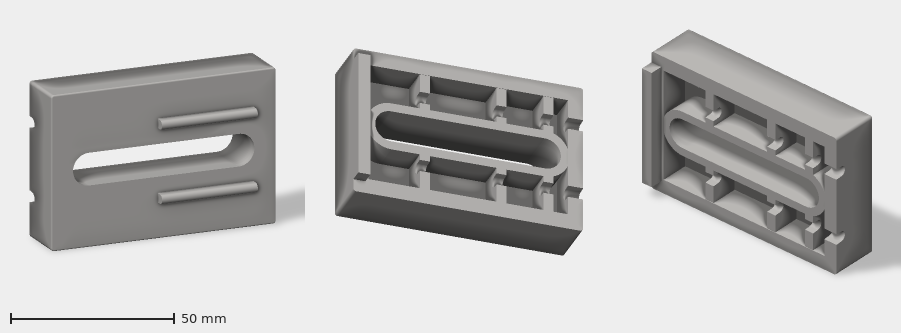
import cadquery as cq

length = 75.0
height = 50.0
overall_depth = 25.0
lip_depth = 4.5
rail_depth = 3.45
body_depth = overall_depth - lip_depth - rail_depth
corner_radius = 1.0
back_edge_radius = corner_radius / 2

end_wall = 4.95
side_wall = 5.0
cavity_depth = 10.05
cavity_length = length - 2 * end_wall
cavity_height = height - 2 * side_wall

slot_pitch = 50.0
slot_width = 10.5
tube_width = 16.1
insert_recess = 0.15

rib_thickness = 3.3
rib_positions = (14.1, -10.95, -26.25)

track_offset = 11.9
groove_width = 3.9
groove_nose_width = 3.6
groove_depth = 4.0
rail_width = 3.1
rail_nose_width = 2.9
rail_length = 31.95
rail_end_gap = 7.6

lip_width = 4.0
lip_height = 41.85

open_face = 0.0
back_face = body_depth
insert_face = open_face + insert_recess
insert_depth = cavity_depth - insert_recess
track_heights = (-track_offset, track_offset)


def block(x_start, x_size, y_center, y_size, z_size):
    """Box that starts at x_start and is centred on Z = 0."""
    return (
        cq.Workplane("YZ", origin=(x_start, y_center, 0))
        .rect(y_size, z_size)
        .extrude(x_size)
    )


def oblong(x_start, x_size, width):
    """Round-ended prism along Y, sharing the slot's end centres."""
    return (
        cq.Workplane("YZ", origin=(x_start, 0, 0))
        .slot2D(slot_pitch + width, width)
        .extrude(x_size)
    )


def round_nosed_bar(x_start, depth, base_width, nose_width, y_start, y_size, z_center):
    """Bar along Y, tapering slightly from x_start to a half-round nose on its +X side."""
    half_base = base_width / 2
    nose_radius = nose_width / 2
    nose_start = depth - nose_radius
    return (
        cq.Workplane("XZ", origin=(x_start, y_start + y_size, z_center))
        .moveTo(0, -half_base)
        .lineTo(nose_start, -nose_radius)
        .threePointArc((depth, 0), (nose_start, nose_radius))
        .lineTo(0, half_base)
        .close()
        .extrude(y_size)
    )


body = block(open_face, body_depth, 0, length, height)
body = body.edges("|X").fillet(corner_radius)
body = body.faces(">X").edges().fillet(back_edge_radius)

cavity = block(open_face, cavity_depth, 0, cavity_length, cavity_height)
inserts = oblong(insert_face, insert_depth, tube_width)
for rib_y in rib_positions:
    inserts = inserts.union(block(insert_face, insert_depth, rib_y, rib_thickness, cavity_height))
body = body.cut(cavity.cut(inserts))

body = body.cut(oblong(open_face, body_depth, slot_width))

groove_length = length / 2 + rib_positions[0] + rib_thickness / 2
rail_start = length / 2 - rail_end_gap - rail_length
for track_z in track_heights:
    groove = round_nosed_bar(
        open_face, groove_depth, groove_width, groove_nose_width, -length / 2, groove_length, track_z
    )
    rail = round_nosed_bar(
        back_face, rail_depth, rail_width, rail_nose_width, rail_start, rail_length, track_z
    )
    body = body.cut(groove).union(rail)

lip = block(open_face - lip_depth, lip_depth, (length - lip_width) / 2, lip_width, lip_height)
result = body.union(lip)